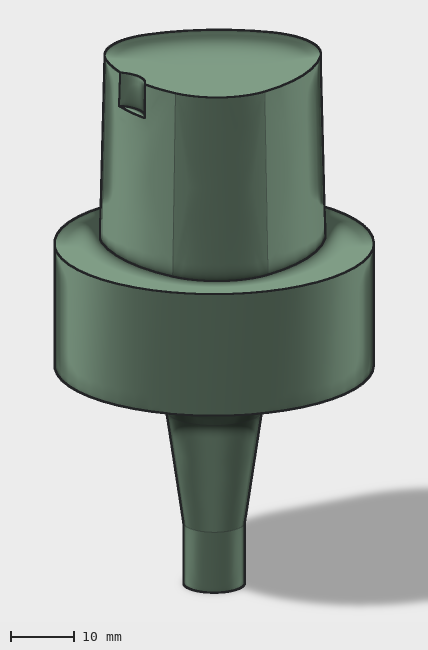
import cadquery as cq
import math

total_height = 86.0
cap_height = 30.0
collar_height = 20.0
collar_top = total_height - cap_height
collar_bottom = collar_top - collar_height
stem_corner_height = 31.8
spigot_height = 10.0

collar_radius = 50.0 / 2
stem_corner_radius = 8.0
stem_fillet_radius = 5.0
spigot_radius = 9.6 / 2

lobe_count = 3
lobe_radius = 11.8
lobe_reach = 18.6
flank_reach = 16.25
cap_draft_angle = 1.4

notch_radius = 5.2
notch_center_y = -19.1
notch_depth = 5.5


def polar(radius, angle):
    """Point at a distance and angle from the axis."""
    return (radius * math.cos(angle), radius * math.sin(angle))


def make_turned_body():
    """Collar, conical underside, tapered stem and spigot."""
    body = (
        cq.Workplane("XZ")
        .moveTo(0, 0)
        .lineTo(spigot_radius, 0)
        .lineTo(spigot_radius, spigot_height)
        .lineTo(stem_corner_radius, stem_corner_height)
        .lineTo(collar_radius, collar_bottom)
        .lineTo(collar_radius, collar_top)
        .lineTo(0, collar_top)
        .close()
        .revolve(360, (0, 0), (0, 1))
    )
    corner_margin = 0.9
    corner_edge = cq.selectors.BoxSelector(
        (-collar_radius, -collar_radius, stem_corner_height - corner_margin),
        (collar_radius, collar_radius, stem_corner_height + corner_margin),
    )
    return body.edges(corner_edge).fillet(stem_fillet_radius)


def make_cap():
    """Drafted prism with small lobe arcs tangent to large flank arcs."""
    lobe_center = lobe_reach - lobe_radius
    flank_radius = (
        (lobe_center**2 + flank_reach**2 - lobe_center * flank_reach - lobe_radius**2)
        / (2 * flank_reach - 2 * lobe_radius - lobe_center)
    )
    flank_center = flank_radius - flank_reach
    half_pitch = math.pi / lobe_count
    lobe_half_angle = math.atan2(
        flank_center * math.sin(half_pitch),
        lobe_center + flank_center * math.cos(half_pitch),
    )
    tangent_x = lobe_center + lobe_radius * math.cos(lobe_half_angle)
    tangent_y = lobe_radius * math.sin(lobe_half_angle)
    tangent_reach = math.hypot(tangent_x, tangent_y)
    tangent_angle = math.atan2(tangent_y, tangent_x)

    first_lobe_angle = math.pi / 2
    outline = cq.Workplane("XY").workplane(offset=collar_top)
    outline = outline.moveTo(*polar(tangent_reach, first_lobe_angle - tangent_angle))
    for index in range(lobe_count):
        angle = first_lobe_angle + 2 * half_pitch * index
        next_angle = angle + 2 * half_pitch
        outline = outline.threePointArc(
            polar(lobe_reach, angle),
            polar(tangent_reach, angle + tangent_angle),
        )
        outline = outline.threePointArc(
            polar(flank_reach, angle + half_pitch),
            polar(tangent_reach, next_angle - tangent_angle),
        )
    return outline.close().extrude(cap_height, taper=cap_draft_angle)


def make_notch():
    """Cylinder that cuts the notch down from the top of the cap."""
    return (
        cq.Workplane("XY")
        .workplane(offset=total_height - notch_depth)
        .center(0, notch_center_y)
        .circle(notch_radius)
        .extrude(notch_depth)
    )


result = make_turned_body().union(make_cap()).cut(make_notch())